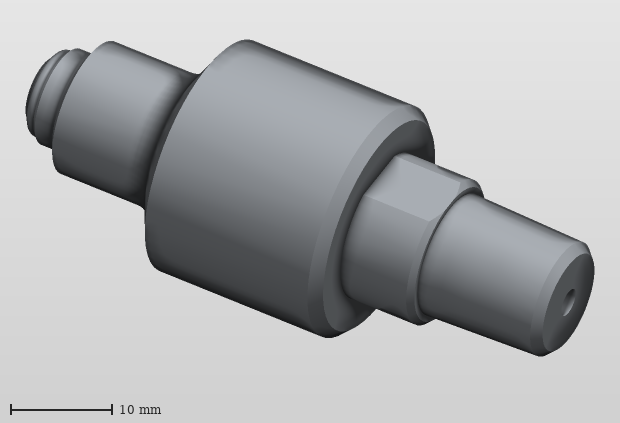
import cadquery as cq
import math

total_length = 59.95
bore_diameter = 2.9

tip_radius = 3.7
tip_chamfer = 0.35
ring_center_x = 1.2
ring_center_radius = 4.0
ring_section_radius = 0.6
pilot_lead_start = 1.7
pilot_radius = 10.25 / 2
pilot_chamfer = 0.39

shank_start = 4.55
shank_radius = 14.15 / 2
shank_chamfer_length = 0.6
shoulder_angle = math.radians(60)
shoulder_fillet = 3.05

body_start = 18.7
body_end = 38.35
body_radius = 24.65 / 2
body_chamfer = 1.15

collar_end = 46.45
collar_radius = 7.75
collar_chamfer = 0.6
flat_spacing = 14.15

tail_root_radius = 6.5
tail_taper = 1 / 32
tail_chamfer = 0.9


def ring_point(angle_degrees):
    """Point on the sealing ring's round section, as (x, radius)."""
    angle = math.radians(angle_degrees)
    return (
        ring_center_x + ring_section_radius * math.cos(angle),
        ring_center_radius + ring_section_radius * math.sin(angle),
    )


def make_turned_body():
    ring_front_angle = 180 - math.degrees(
        math.asin((tip_radius - ring_center_radius) / ring_section_radius)
    )
    ring_back_angle = math.degrees(
        math.acos((pilot_lead_start - ring_center_x) / ring_section_radius)
    )
    ring_middle_angle = (ring_front_angle + ring_back_angle) / 2

    fillet_rise = shoulder_fillet * (1 - math.cos(shoulder_angle))
    fillet_end_radius = shank_radius + fillet_rise
    fillet_end_x = body_start - (body_radius - fillet_end_radius) / math.tan(shoulder_angle)
    fillet_start_x = fillet_end_x - shoulder_fillet * math.sin(shoulder_angle)
    half_angle = shoulder_angle / 2
    fillet_middle = (
        fillet_start_x + shoulder_fillet * math.sin(half_angle),
        shank_radius + shoulder_fillet * (1 - math.cos(half_angle)),
    )
    shank_face_radius = shank_radius - shank_chamfer_length * math.tan(shoulder_angle)

    tail_chamfer_x = total_length - tail_chamfer
    tail_end_radius = tail_root_radius - tail_taper * (tail_chamfer_x - collar_end)

    profile = (
        cq.Workplane("XY")
        .moveTo(0, 0)
        .lineTo(0, tip_radius - tip_chamfer)
        .lineTo(tip_chamfer, tip_radius)
        .lineTo(*ring_point(ring_front_angle))
        .threePointArc(ring_point(ring_middle_angle), ring_point(ring_back_angle))
        .lineTo(pilot_lead_start, pilot_radius - pilot_chamfer)
        .lineTo(pilot_lead_start + pilot_chamfer, pilot_radius)
        .lineTo(shank_start, pilot_radius)
        .lineTo(shank_start, shank_face_radius)
        .lineTo(shank_start + shank_chamfer_length, shank_radius)
        .lineTo(fillet_start_x, shank_radius)
        .threePointArc(fillet_middle, (fillet_end_x, fillet_end_radius))
        .lineTo(body_start, body_radius)
        .lineTo(body_end - body_chamfer, body_radius)
        .lineTo(body_end, body_radius - body_chamfer)
        .lineTo(body_end, collar_radius)
        .lineTo(collar_end - collar_chamfer, collar_radius)
        .lineTo(collar_end, collar_radius - collar_chamfer)
        .lineTo(collar_end, tail_root_radius)
        .lineTo(tail_chamfer_x, tail_end_radius)
        .lineTo(total_length, tail_end_radius - tail_chamfer)
        .lineTo(total_length, 0)
        .close()
    )
    return profile.revolve(360, (0, 0, 0), (1, 0, 0))


def cut_wrench_flats(body):
    collar_length = collar_end - body_end
    for side in (1, -1):
        cutter = cq.Workplane("XY").box(collar_length, 2 * collar_radius, collar_radius)
        cutter = cutter.translate(
            (body_end + collar_length / 2, 0, side * (flat_spacing + collar_radius) / 2)
        )
        body = body.cut(cutter)
    return body


def cut_bore(body):
    bore = cq.Workplane("YZ").circle(bore_diameter / 2).extrude(total_length)
    return body.cut(bore)


result = cut_bore(cut_wrench_flats(make_turned_body()))